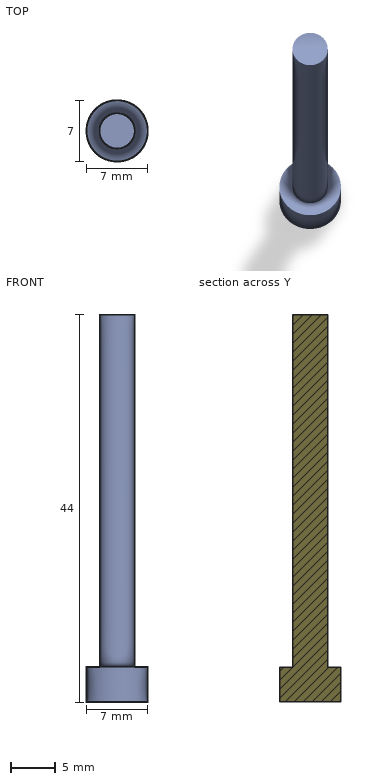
import cadquery as cq

total_length = 44.0
shank_diameter = 4.0
head_diameter = 7.0
head_height = shank_diameter
shank_length = total_length - head_height

head = cq.Workplane("XY").circle(head_diameter / 2).extrude(head_height)

result = (
    head.faces(">Z")
    .workplane()
    .circle(shank_diameter / 2)
    .extrude(shank_length)
)